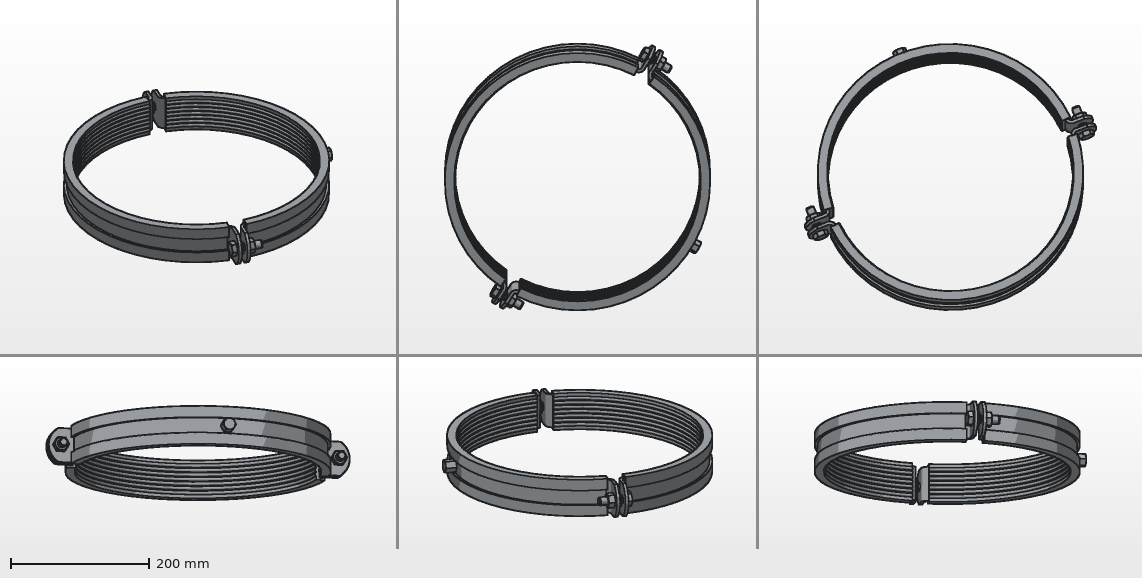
import cadquery as cq
import math

ring_height = 56.5
outer_radius = 192.0
band_outer_radius = 188.0
band_thickness = 5.0
band_inner_radius = band_outer_radius - band_thickness
liner_inner_radius = 179.0
channel_width = 23.0
ring_end_y = 13.5
end_angle = math.degrees(math.asin(ring_end_y / outer_radius))

bead_count = 7
bead_pitch = 6.5
bead_width = 5.5
bead_rise = 2.0

lug_tip_x = 223.5
lug_height = 50.5
lug_gap = 8.0
lug_tip_radius = 30.0
bend_inner_radius = 5.0
bend_outer_radius = bend_inner_radius + band_thickness
lug_inner_y = lug_gap / 2
lug_outer_y = lug_inner_y + band_thickness
bend_centre_x = band_inner_radius + bend_outer_radius
bend_centre_y = lug_inner_y + bend_outer_radius
lug_root_y = 14.8

bolt_x = 206.5
bolt_diameter = 12.0
bolt_tip_y = 31.5
bolt_tip_diameter = 10.5
bolt_tip_taper_length = 2.0
hex_across_flats = 19.0
hex_bevel_length = 1.0
head_height = 7.5
nut_height = 10.0
washer_diameter = 20.0
washer_thickness = 1.5

connection_nut_end_y = 204.5
connection_nut_across_flats = 17.0
connection_nut_root_y = (band_inner_radius + band_outer_radius) / 2


def half_ring():
    """Half ring on the +Y side: liner, steel band and inner beads in one revolved section."""
    half_height = ring_height / 2
    half_channel = channel_width / 2

    section = (
        cq.Workplane("XZ")
        .moveTo(liner_inner_radius, -half_height)
        .lineTo(outer_radius, -half_height)
        .lineTo(outer_radius, -half_channel)
        .lineTo(band_outer_radius, -half_channel)
        .lineTo(band_outer_radius, half_channel)
        .lineTo(outer_radius, half_channel)
        .lineTo(outer_radius, half_height)
        .lineTo(liner_inner_radius, half_height)
    )
    for index in reversed(range(bead_count)):
        bead_z = (index - (bead_count - 1) / 2) * bead_pitch
        section = section.lineTo(liner_inner_radius, bead_z + bead_width / 2).threePointArc(
            (liner_inner_radius - bead_rise, bead_z),
            (liner_inner_radius, bead_z - bead_width / 2),
        )
    swept_angle = 180 - 2 * end_angle
    ring = section.close().revolve(swept_angle, (0, 0, 0), (0, 1, 0))
    return ring.rotate((0, 0, 0), (0, 0, 1), end_angle)


def lug():
    """Lug at +X, +Y: a flat ear with a rounded tip that bends round into the band."""
    diagonal = math.sqrt(0.5)
    strip = (
        cq.Workplane("XY")
        .moveTo(lug_tip_x, lug_inner_y)
        .lineTo(bend_centre_x, lug_inner_y)
        .threePointArc(
            (bend_centre_x - bend_outer_radius * diagonal, bend_centre_y - bend_outer_radius * diagonal),
            (band_inner_radius, bend_centre_y),
        )
        .lineTo(band_inner_radius, lug_root_y)
        .lineTo(band_outer_radius, lug_root_y)
        .lineTo(band_outer_radius, bend_centre_y)
        .threePointArc(
            (bend_centre_x - bend_inner_radius * diagonal, bend_centre_y - bend_inner_radius * diagonal),
            (bend_centre_x, lug_outer_y),
        )
        .lineTo(lug_tip_x, lug_outer_y)
        .close()
        .extrude(lug_height / 2, both=True)
    )

    half_height = lug_height / 2
    tip_drop = lug_tip_radius - math.sqrt(lug_tip_radius**2 - half_height**2)
    outline = (
        cq.Workplane("XZ")
        .moveTo(band_inner_radius, -half_height)
        .lineTo(lug_tip_x - tip_drop, -half_height)
        .threePointArc((lug_tip_x, 0), (lug_tip_x - tip_drop, half_height))
        .lineTo(band_inner_radius, half_height)
        .close()
        .extrude(-lug_root_y)
    )
    return strip.intersect(outline)


def plane_along_y(x, y):
    """Workplane whose normal is +Y, with its origin on the XY plane."""
    return cq.Workplane(cq.Plane(origin=(x, y, 0), xDir=(1, 0, 0), normal=(0, 1, 0)))


def cylinder_along_y(x, y_start, y_end, diameter):
    return plane_along_y(x, y_start).circle(diameter / 2).extrude(y_end - y_start)


def hexagon_along_y(x, y_start, y_end, across_flats):
    """Hexagonal prism with two corners on the X axis and bevelled corners at y_end."""
    across_corners = across_flats / math.cos(math.pi / 6)
    length = y_end - y_start
    prism = plane_along_y(x, y_start).polygon(6, across_corners).extrude(length)
    bevel_envelope = (
        plane_along_y(x, y_start)
        .circle(across_corners / 2)
        .extrude(length)
        .faces(">Y" if length > 0 else "<Y")
        .chamfer(hex_bevel_length, (across_corners - across_flats) / 2)
    )
    return prism.intersect(bevel_envelope)


def bolt_set(x):
    """Bolt with its head at -Y, its nut at +Y and a washer between the lugs."""
    taper_width = (bolt_diameter - bolt_tip_diameter) / 2
    shank = (
        cylinder_along_y(x, -lug_outer_y, bolt_tip_y, bolt_diameter)
        .faces(">Y")
        .chamfer(bolt_tip_taper_length, taper_width)
    )
    head = hexagon_along_y(x, -lug_outer_y, -lug_outer_y - head_height, hex_across_flats)
    nut = hexagon_along_y(x, lug_outer_y, lug_outer_y + nut_height, hex_across_flats)
    washer = cylinder_along_y(x, -washer_thickness / 2, washer_thickness / 2, washer_diameter)
    return shank.union(head).union(nut).union(washer)


upper_half = half_ring().union(lug()).union(lug().mirror("YZ"))
lower_half = upper_half.mirror("XZ")
connection_nut = hexagon_along_y(0, connection_nut_root_y, connection_nut_end_y, connection_nut_across_flats)

result = upper_half.union(lower_half).union(connection_nut)
for side in (-1, 1):
    result = result.union(bolt_set(side * bolt_x))